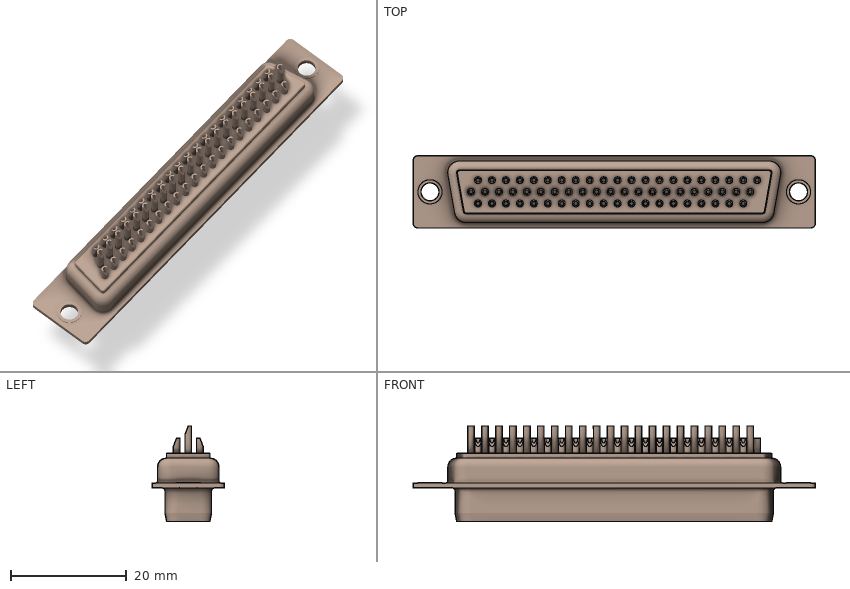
import cadquery as cq
import math

plug_taper_height = 1.45
flange_bottom = 5.8
flange_top = 6.65
shoulder_height = 10.95
insulator_height = 11.9
outer_pin_top = 14.45
middle_pin_top = 16.5

flange_length = 69.4
flange_width = 12.5
flange_corner_radius = 0.8
mount_hole_spacing = 63.6
mount_hole_diameter = 3.05
mount_rim_diameter = 4.15
mount_rim_height = 0.15

side_angle = 10.0
shell_half_length = 28.2
shell_width = 10.6
shell_corner_radius = 2.0
shell_base_fillet = 0.4
shoulder_radius = 1.5
insulator_chamfer = 0.15
plug_half_length = 27.15
plug_width = 8.05
plug_corner_radius = 1.95
plug_base_fillet = 0.55
plug_taper = 0.3

long_row_count = 21
short_row_count = 20
long_row_length = 48.15
pin_pitch = long_row_length / (long_row_count - 1)
row_spacing = 2.0
pin_diameter = 1.2
cup_diameter = 0.7
cup_floor = insulator_height
cup_cut_drop = 1.45
middle_row_start = -24.7
outer_row_start = middle_row_start + pin_pitch / 2


def d_prism(half_length, width, corner_radius, bottom, top, inset=0.0):
    """Prism on a rounded trapezoid, longer on its +Y side, with all its sides moved in by inset."""
    half_width = width / 2 - inset
    mid_half_length = half_length - inset / math.cos(math.radians(side_angle))
    side_shift = half_width * math.tan(math.radians(side_angle))
    corners = [
        (-mid_half_length - side_shift, half_width),
        (mid_half_length + side_shift, half_width),
        (mid_half_length - side_shift, -half_width),
        (-mid_half_length + side_shift, -half_width),
    ]
    prism = cq.Workplane("XY").workplane(offset=bottom).polyline(corners).close().extrude(top - bottom)
    return prism.edges("|Z").fillet(corner_radius - inset)


def make_flange():
    thickness = flange_top - flange_bottom
    flange = cq.Workplane("XY").box(flange_length, flange_width, thickness, centered=(True, True, False))
    return flange.edges("|Z").fillet(flange_corner_radius).translate((0, 0, flange_bottom))


def make_upper_shell():
    """Metal shell with a rounded shoulder around the raised insulator."""
    shell = d_prism(shell_half_length, shell_width, shell_corner_radius, flange_top, shoulder_height)
    shell = shell.faces(">Z").edges().fillet(shoulder_radius)
    insulator = d_prism(
        shell_half_length, shell_width, shell_corner_radius,
        flange_top, insulator_height, inset=shoulder_radius,
    )
    insulator = insulator.faces(">Z").edges().chamfer(insulator_chamfer)
    return shell.union(insulator)


def make_plug():
    """Lower body, drawn in slightly towards the mating face."""
    plug = d_prism(plug_half_length, plug_width, plug_corner_radius, 0, flange_bottom)
    return plug.faces("<Z").edges().chamfer(plug_taper_height, plug_taper)


def flare_base(solid, face_height, radius):
    """Fillet the concave corner where a body leaves the flange face at the given height."""
    flange_face = solid.faces("|Z").faces(cq.selectors.NearestToPointSelector((0, 0, face_height)))
    return cq.Workplane(solid.val().fillet(radius, flange_face.val().innerWires()[0].Edges()))


def add_mount_holes(solid):
    """Through holes at both flange ends, each with a slightly raised rim on top."""
    centers = [(-mount_hole_spacing / 2, 0), (mount_hole_spacing / 2, 0)]
    rims = (
        cq.Workplane("XY")
        .workplane(offset=flange_bottom)
        .pushPoints(centers)
        .circle(mount_rim_diameter / 2)
        .extrude(flange_top + mount_rim_height - flange_bottom)
    )
    holes = cq.Workplane("XY").pushPoints(centers).circle(mount_hole_diameter / 2).extrude(insulator_height)
    return solid.union(rims).cut(holes)


def make_pin(top, cut_side):
    """Solder-cup pin at the origin; cut_side (+1 or -1) is the Y side the cup opens to."""
    radius = pin_diameter / 2
    pin = cq.Workplane("XY").workplane(offset=flange_top).circle(radius).extrude(top - flange_top)
    cup = cq.Workplane("XY").workplane(offset=cup_floor).circle(cup_diameter / 2).extrude(top - cup_floor)
    slope = (
        cq.Workplane("YZ")
        .polyline([(0, top), (cut_side * radius, top), (cut_side * radius, top - cup_cut_drop)])
        .close()
        .extrude(radius, both=True)
    )
    return pin.cut(cup).cut(slope)


def pin_row(start, y, count, top, cut_side):
    """Evenly pitched pins running in +X from the start position."""
    pin = make_pin(top, cut_side).val()
    return [pin.moved(cq.Location(cq.Vector(start + i * pin_pitch, y, 0))) for i in range(count)]


body = make_flange().union(make_upper_shell()).union(make_plug())
body = flare_base(body, flange_top, shell_base_fillet)
body = flare_base(body, flange_bottom, plug_base_fillet)
body = add_mount_holes(body)

pins = (
    pin_row(outer_row_start, row_spacing, long_row_count, outer_pin_top, 1)
    + pin_row(middle_row_start, 0, long_row_count, middle_pin_top, 1)
    + pin_row(outer_row_start, -row_spacing, short_row_count, outer_pin_top, -1)
)
result = cq.Workplane(body.val().fuse(*pins))